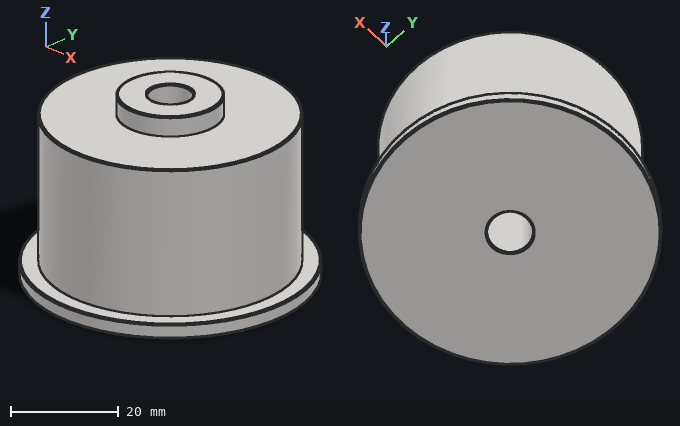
import cadquery as cq

flange_diameter = 56.0
flange_thickness = 3.0
body_diameter = 49.0
body_top = 33.0
boss_diameter = 20.0
total_height = 37.0
bore_diameter = 8.5
edge_chamfer = 0.3


def chamfered_disc(diameter, bottom, top, chamfered_edges):
    """Upright disc between two heights, with the selected rims chamfered."""
    disc = cq.Workplane("XY").workplane(offset=bottom).circle(diameter / 2).extrude(top - bottom)
    return disc.edges(chamfered_edges).chamfer(edge_chamfer)


flange = chamfered_disc(flange_diameter, 0, flange_thickness, "%CIRCLE")
body = chamfered_disc(body_diameter, flange_thickness, body_top, ">Z")
boss = chamfered_disc(boss_diameter, body_top, total_height, ">Z")

bore = cq.Workplane("XY").circle(bore_diameter / 2).extrude(total_height)
mouth_radius = bore_diameter / 2 + edge_chamfer
bottom_mouth = cq.Workplane("XY").circle(mouth_radius).extrude(edge_chamfer, taper=45)
top_mouth = bottom_mouth.mirror("XY").translate((0, 0, total_height))

result = flange.union(body).union(boss).cut(bore).cut(bottom_mouth).cut(top_mouth)